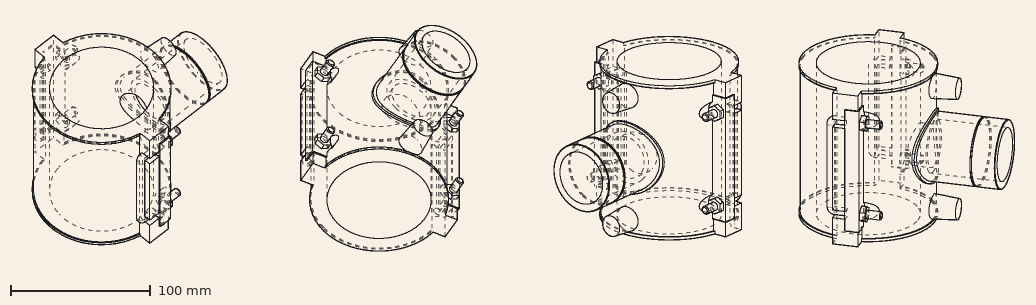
import cadquery as cq

OVERALL_LENGTH = 151.5

HEIGHT = 118.0
BORE_DIAMETER = 74.5
BODY_RADIUS = 48.8
RIM_RADIUS = 49.7
RIM_HEIGHT = 2.3

FLANGE_HALF_WIDTH = 58.5
FLANGE_THICKNESS = 9.4
STRAP_HALF_WIDTH = 59.5
STRAP_THICKNESS = STRAP_HALF_WIDTH - FLANGE_HALF_WIDTH
STRAP_TOP = FLANGE_THICKNESS + STRAP_THICKNESS
STRAP_LENGTH = 94.7

BRANCH_DIAMETER = 50.6
BRANCH_END = OVERALL_LENGTH - RIM_RADIUS
BRANCH_END_CHAMFER = 0.5
BRANCH_BORE_DIAMETER = 39.0
SADDLE_HOLE_DIAMETER = 31.2
GROOVE_DIAMETER = 49.7
GROOVE_WIDTH = 1.0
GROOVE_START = 83.2
COLLAR_DIAMETER = 54.5
COLLAR_RADIUS_FROM_BORE_AXIS = 50.3

BOSS_OFFSET = 47.1
BOSS_END = 67.3
BOSS_END_DIAMETER = 15.6
BOSS_BASE_DIAMETER = 18.5
BOSS_ROOT_MARGIN = 1.5

ROD_DIAMETER = 6.0
BEND_RADIUS = 3.2
BAR_Y = -12.3
ROD_X = 52.3
LEG_OFFSET = 35.5
LEG_END = 25.3
LEG_CHAMFER = 0.8
NUT_HEIGHT = 4.0
NUT_ACROSS_CORNERS = 12.0
NUT_TURN = 30
NUT_CLEARANCE_DIAMETER = 16.7

SIDES = (-1, 1)


def rod_along_y(diameter, start, end, x=0, z=0):
    """Cylinder parallel to Y from y=start to y=end."""
    base = cq.Workplane("XZ", origin=(x, start, z))
    return base.circle(diameter / 2).extrude(start - end)


def disc(radius, height, z_center=0):
    """Cylinder around the bore axis, centred on z_center."""
    base = cq.Workplane("XY").workplane(offset=z_center - height / 2)
    return base.circle(radius).extrude(height)


def clamp_body():
    body = disc(BODY_RADIUS, HEIGHT)
    for side in SIDES:
        body = body.union(disc(RIM_RADIUS, RIM_HEIGHT, side * (HEIGHT - RIM_HEIGHT) / 2))
    flanges = cq.Workplane("XY").box(2 * FLANGE_HALF_WIDTH, 2 * FLANGE_THICKNESS, HEIGHT)
    return body.union(flanges)


def straps():
    """Cap over the +Y half of both flanges."""
    base = cq.Workplane("XY").box(
        2 * STRAP_HALF_WIDTH, STRAP_TOP, STRAP_LENGTH, centered=(True, False, True)
    )
    inside = cq.Workplane("XY").box(
        2 * FLANGE_HALF_WIDTH, FLANGE_THICKNESS, STRAP_LENGTH, centered=(True, False, True)
    )
    return base.cut(inside)


def branch():
    pipe = rod_along_y(BRANCH_DIAMETER, 0, BRANCH_END).faces(">Y").chamfer(BRANCH_END_CHAMFER)
    groove_end = GROOVE_START + GROOVE_WIDTH
    groove = rod_along_y(BRANCH_DIAMETER, GROOVE_START, groove_end)
    groove = groove.cut(rod_along_y(GROOVE_DIAMETER, GROOVE_START, groove_end))
    collar = rod_along_y(COLLAR_DIAMETER, 0, BRANCH_END)
    collar = collar.intersect(disc(COLLAR_RADIUS_FROM_BORE_AXIS, HEIGHT))
    return pipe.cut(groove).union(collar)


def boss(z):
    """Tapered boss that starts inside the clamp wall, so its base is fully buried."""
    root = BORE_DIAMETER / 2 + BOSS_ROOT_MARGIN
    taper = (BOSS_BASE_DIAMETER - BOSS_END_DIAMETER) / (BOSS_END - BODY_RADIUS)
    root_diameter = BOSS_END_DIAMETER + taper * (BOSS_END - root)
    base = cq.Workplane("XZ", origin=(0, root, z)).circle(root_diameter / 2)
    return base.workplane(offset=root - BOSS_END).circle(BOSS_END_DIAMETER / 2).loft()


def rod_slot(side, z):
    """Slot in the -Y half of a flange, running from the bolt axis out to the flange edge."""
    length = FLANGE_HALF_WIDTH - ROD_X
    slot = cq.Workplane("XY").box(length, FLANGE_THICKNESS, ROD_DIAMETER)
    return slot.translate((side * (ROD_X + length / 2), -FLANGE_THICKNESS / 2, z))


def nut_clearance(side, z):
    """Round relief in the clamp wall around a nut."""
    return rod_along_y(NUT_CLEARANCE_DIAMETER, STRAP_TOP, LEG_END, side * ROD_X, z)


def u_bolt(side):
    """Rod bent into a U: two legs along Y joined by a bar along Z."""
    x = side * ROD_X
    bend_half_span = LEG_OFFSET - BEND_RADIUS
    bend_start = BAR_Y + BEND_RADIUS
    path = (
        cq.Workplane("YZ", origin=(x, 0, 0))
        .moveTo(LEG_END, -LEG_OFFSET)
        .lineTo(bend_start, -LEG_OFFSET)
        .tangentArcPoint((BAR_Y, -bend_half_span), relative=False)
        .lineTo(BAR_Y, bend_half_span)
        .tangentArcPoint((bend_start, LEG_OFFSET), relative=False)
        .lineTo(LEG_END, LEG_OFFSET)
    )
    section = cq.Workplane("XZ", origin=(x, LEG_END, -LEG_OFFSET)).circle(ROD_DIAMETER / 2)
    return section.sweep(path).faces(">Y").chamfer(LEG_CHAMFER)


def nut(x, z):
    base = cq.Workplane("XZ", origin=(x, STRAP_TOP, z))
    blank = base.polygon(6, NUT_ACROSS_CORNERS).extrude(-NUT_HEIGHT)
    return blank.rotate((x, 0, z), (x, 1, z), NUT_TURN)


result = clamp_body().union(straps()).union(branch())
for end in SIDES:
    result = result.union(boss(end * BOSS_OFFSET))
    for side in SIDES:
        result = result.cut(rod_slot(side, end * LEG_OFFSET))
        result = result.cut(nut_clearance(side, end * LEG_OFFSET))

result = result.cut(disc(BORE_DIAMETER / 2, HEIGHT))
result = result.cut(rod_along_y(SADDLE_HOLE_DIAMETER, 0, BRANCH_END))
result = result.cut(rod_along_y(BRANCH_BORE_DIAMETER, BODY_RADIUS, BRANCH_END))

for side in SIDES:
    result = result.union(u_bolt(side))
    for end in SIDES:
        result = result.union(nut(side * ROD_X, end * LEG_OFFSET))